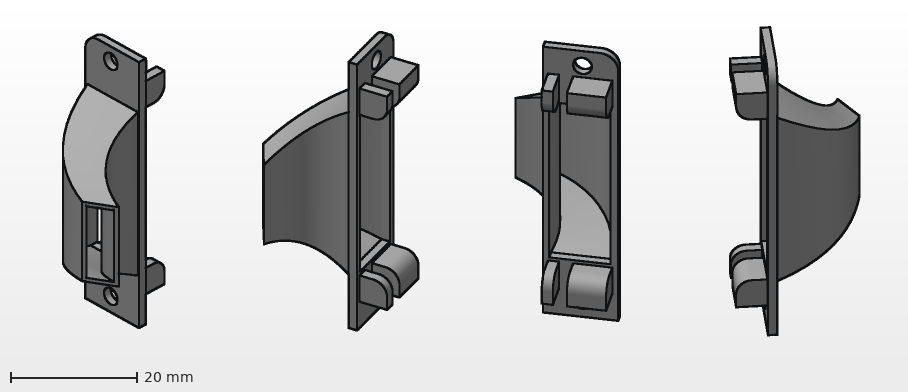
import cadquery as cq

plate_width = 12.15
plate_height = 50.3
plate_thickness = 1.5
plate_corner_radius = 3

hole_diameter = 3
hole_x = 5.8
hole_heights = (3.0, 47.5)

tab_spans_x = [(0.95, 7.3), (9.55, 11.35)]
tab_depth = 5.0
tab_height = 5.0
tab_edge_distance = 5.0
tab_round_radius = 2.5

base_section = ((0.5, 0), (11.9, 0), 9.8, 40.75)
middle_section = ((4.95, -9.8), (12.6, -7.65), 13.75, 35.0)
mouth_section = ((14.05, -14.45), (19.25, -11.4), 16.35, 31.4)
duct_wall = 0.75


def section_wire(section, inset):
    """Upright rectangle across the duct, drawn in by the inset on all four sides."""
    (left_x, left_y), (right_x, right_y), bottom, top = section
    across = cq.Vector(right_x - left_x, right_y - left_y, 0)
    step = across.normalized() * inset
    left = cq.Vector(left_x, left_y, 0) + step
    right = cq.Vector(right_x, right_y, 0) - step
    low = cq.Vector(0, 0, bottom + inset)
    high = cq.Vector(0, 0, top - inset)
    corners = [left + low, right + low, right + high, left + high]
    return cq.Wire.makePolygon(corners, close=True)


def duct_body(inset):
    """Smooth solid through the three duct sections."""
    sections = [base_section, middle_section, mouth_section]
    return cq.Workplane(cq.Solid.makeLoft([section_wire(section, inset) for section in sections]))


def mounting_plate():
    """Plate with its upper left corner rounded and a screw hole at each end."""
    plate = cq.Workplane().box(plate_width, plate_thickness, plate_height, centered=False)
    plate = plate.edges("|Y and <X and >Z").fillet(plate_corner_radius)
    hole_points = [(hole_x, height) for height in hole_heights]
    holes = (
        cq.Workplane("XZ")
        .pushPoints(hole_points)
        .circle(hole_diameter / 2)
        .extrude(-plate_thickness)
    )
    return plate.cut(holes)


def tab(span_x, bottom, rounded_side):
    """Tab behind the plate, its rear edge rounded on the side facing the plate middle."""
    start_x, end_x = span_x
    block = cq.Workplane().box(end_x - start_x, tab_depth, tab_height, centered=False)
    block = block.edges(f"|X and >Y and {rounded_side}").fillet(tab_round_radius)
    return block.translate((start_x, plate_thickness, bottom))


def duct_inlet():
    """Straight opening through the plate, matching the inside of the duct base."""
    (left_x, _), (right_x, _), bottom, top = base_section
    return (
        cq.Workplane()
        .box(
            right_x - left_x - 2 * duct_wall,
            plate_thickness,
            top - bottom - 2 * duct_wall,
            centered=False,
        )
        .translate((left_x + duct_wall, 0, bottom + duct_wall))
    )


result = mounting_plate().union(duct_body(0))
for tab_span in tab_spans_x:
    result = result.union(tab(tab_span, tab_edge_distance, ">Z"))
    result = result.union(tab(tab_span, plate_height - tab_edge_distance - tab_height, "<Z"))
result = result.cut(duct_body(duct_wall)).cut(duct_inlet())